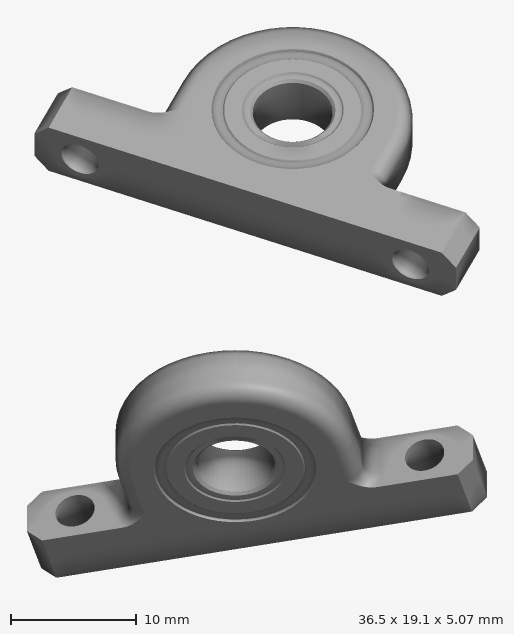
import cadquery as cq
import math

bar_length = 36.5
bar_depth = 4.75
thickness = 5.07
bar_chamfer = 1.25

housing_radius = 9.53
housing_center_y = 9.53
rim_fillet = 1.25
corner_fillet = 1.25

mount_hole_diameter = 3.2
mount_hole_spacing = 28.62

bore_radius = 3.18
bore_chamfer = 0.22
race_depth = 0.2
shield_depth = 0.07
seat_radius = 6.45
seat_taper = 0.1
shield_inner_radius = 4.05
shield_outer_radius = 5.45
shield_taper = 0.1


def make_bar():
    """Bar with its four end edges chamfered."""
    bar = cq.Workplane("XY").box(bar_length, bar_depth, thickness, centered=(True, False, True))
    return bar.edges("|Y and (<X or >X)").chamfer(bar_chamfer)


def make_housing():
    """Straight-sided arch with both rims rounded."""
    arch = (
        cq.Workplane("XY", origin=(0, 0, -thickness / 2))
        .moveTo(-housing_radius, 0)
        .lineTo(housing_radius, 0)
        .lineTo(housing_radius, housing_center_y)
        .threePointArc((0, housing_center_y + housing_radius), (-housing_radius, housing_center_y))
        .close()
        .extrude(thickness)
    )
    return arch.faces("|Z").edges("not <Y").fillet(rim_fillet)


def make_corner_blend(side):
    """Concave flare from one housing side, rounded rims included, onto the back of the bar."""
    axis_x = side * (housing_radius - rim_fillet)
    rim_axis_z = thickness / 2 - rim_fillet
    foot = rim_fillet + corner_fillet
    blend_top = bar_depth + corner_fillet
    arc_offset = corner_fillet * (1 - math.sqrt(0.5))
    profile = (
        cq.Workplane("XY")
        .moveTo(0, bar_depth)
        .lineTo(side * foot, bar_depth)
        .threePointArc(
            (side * (rim_fillet + arc_offset), bar_depth + arc_offset),
            (side * rim_fillet, blend_top),
        )
        .lineTo(0, blend_top)
        .close()
    )
    flare = profile.extrude(rim_axis_z, both=True).translate((axis_x, 0, 0))
    rim_flare = profile.toPending().revolve(360, (0, 0), (0, 1))
    for z in (-rim_axis_z, rim_axis_z):
        flare = flare.union(rim_flare.translate((axis_x, 0, z)))
    slab = cq.Workplane("XY").box(bar_length, 2 * blend_top, thickness)
    return flare.intersect(slab)


def make_bearing_recess():
    """Cutter for the recess above the upper bearing face and the bore chamfer below it."""
    top = thickness / 2
    race_z = top - race_depth
    shield_z = top - shield_depth
    profile = [
        (0, race_z - bore_chamfer),
        (bore_radius, race_z - bore_chamfer),
        (bore_radius + bore_chamfer, race_z),
        (shield_inner_radius - shield_taper, race_z),
        (shield_inner_radius, shield_z),
        (shield_outer_radius, shield_z),
        (shield_outer_radius + shield_taper, race_z),
        (seat_radius - seat_taper, race_z),
        (seat_radius, top),
        (0, top),
    ]
    cutter = cq.Workplane("XZ").polyline(profile).close().revolve(360, (0, 0), (0, 1))
    return cutter.translate((0, housing_center_y, 0))


def make_mount_holes():
    """Cutters for the two holes through the bar."""
    holes = cq.Workplane("XZ").pushPoints([(-mount_hole_spacing / 2, 0), (mount_hole_spacing / 2, 0)])
    return holes.circle(mount_hole_diameter / 2).extrude(-bar_depth)


body = make_bar().union(make_housing())
for side in (-1, 1):
    body = body.union(make_corner_blend(side))

recess = make_bearing_recess()
bore = cq.Workplane("XY").center(0, housing_center_y).circle(bore_radius).extrude(thickness / 2, both=True)
result = body.cut(recess).cut(recess.mirror("XY")).cut(bore).cut(make_mount_holes())